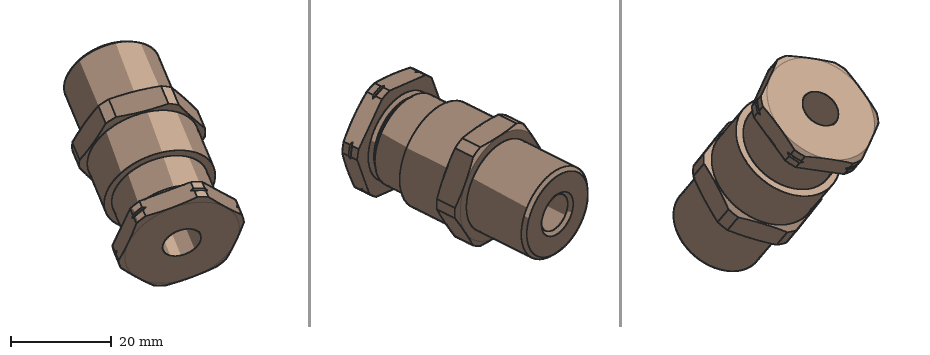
import cadquery as cq
import math

total_length = 45.7
hex_start = 15.25
hex_end = 20.75
collar_end = 31.5
neck_bevel_start = 39.4
neck_start = 40.55
neck_end = 40.7
nut_start = 41.35

thread_radius = 10.05
collar_radius = 11.65
neck_radius = 8.85
neck_flare_radius = 9.83
bore_radius = 4.0

across_flats = 24.0
corner_radius = 26.35 / 2
front_bevel = 0.3
wrench_rear_bevel = 0.4
nut_rear_bevel = 0.3
nut_turn = 10.0

thread_chamfer = 0.78
bore_chamfer = 0.78
groove_center = 43.35
groove_half_width = 0.3
groove_depth = 0.27


def revolve_about_x(points):
    """Turn a closed (x, radius) outline about the X axis."""
    return cq.Workplane("XY").polyline(points).close().revolve(360, (0, 0, 0), (1, 0, 0))


def turned_hexagon(outline, turn):
    """Hexagonal prism trimmed by a turned outline that runs from its start to its end."""
    start = outline[0][0]
    end = outline[-1][0]
    prism = (
        cq.Workplane("YZ", origin=(start, 0, 0))
        .polygon(6, across_flats / math.cos(math.radians(30)))
        .extrude(end - start)
        .rotate((0, 0, 0), (1, 0, 0), turn)
    )
    return prism.intersect(revolve_about_x(outline))


body = revolve_about_x([
    (0, 0),
    (0, thread_radius - thread_chamfer),
    (thread_chamfer, thread_radius),
    (hex_end, thread_radius),
    (hex_end, collar_radius),
    (collar_end, collar_radius),
    (collar_end, thread_radius),
    (neck_bevel_start, thread_radius),
    (neck_start, neck_radius),
    (neck_end, neck_radius),
    (nut_start, neck_flare_radius),
    (total_length, neck_flare_radius),
    (total_length, 0),
])

wrench_outline = [
    (hex_start, 0),
    (hex_start, across_flats / 2),
    (hex_start + front_bevel, corner_radius),
    (hex_end - wrench_rear_bevel, corner_radius),
    (hex_end, collar_radius),
    (hex_end, 0),
]
wrench_hex = turned_hexagon(wrench_outline, 0)

nut_outline = [
    (nut_start, 0),
    (nut_start, corner_radius),
    (total_length - nut_rear_bevel, corner_radius),
    (total_length, across_flats / 2),
    (total_length, 0),
]
nut = turned_hexagon(nut_outline, nut_turn)

groove_overshoot = 0.45
cutter_half_width = groove_half_width * (1 + groove_overshoot / groove_depth)
cutter_radius = corner_radius + groove_overshoot
groove = revolve_about_x([
    (groove_center, corner_radius - groove_depth),
    (groove_center + cutter_half_width, cutter_radius),
    (groove_center - cutter_half_width, cutter_radius),
])
nut = nut.cut(groove)

bore = revolve_about_x([
    (0, 0),
    (0, bore_radius + bore_chamfer),
    (bore_chamfer, bore_radius),
    (total_length, bore_radius),
    (total_length, 0),
])

result = body.union(wrench_hex).union(nut).cut(bore)